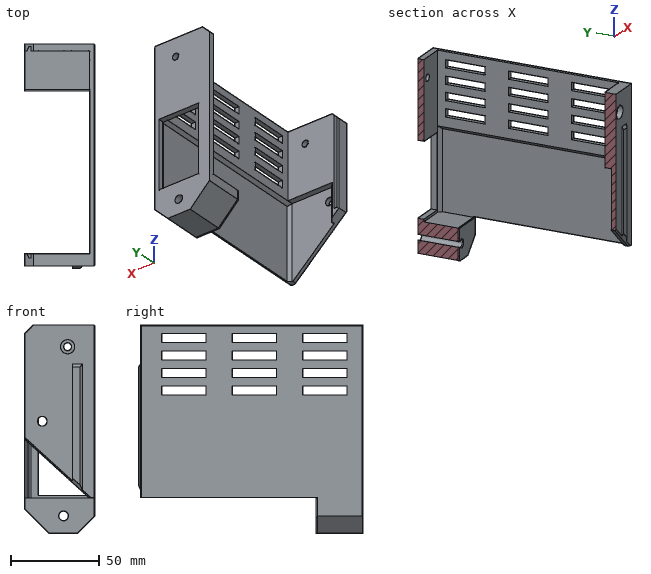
import cadquery as cq
import math

width = 40.0
height = 118.5
rib_height = 1.1
overall_length = 127.4
length = overall_length - rib_height

back_wall = 3.0
front_wall = 7.1
far_wall = 4.0
inner_x = width - back_wall
inner_y = length - far_wall
foot_top = 20.0
panel_bottom = 20.4
corner_chamfer = 5.0
back_chamfer = 0.6

foot_length = 26.8
plate_thickness = 0.9
foot_front = length - foot_length
plate_back = foot_front + plate_thickness
foot_left_chamfer = 13.9
foot_right_chamfer = 10.0

slope_top = 53.6
slope_end_x = 36.5
slope_rise_rate = (slope_top - panel_bottom) / slope_end_x
slope_bevel = 0.8

slot_length = 25.0
slot_height = 5.0
slot_pitch_y = 40.0
slot_pitch_z = 10.0
slot_columns = 3
slot_rows = 4
slot_middle_y = 64.6
slot_top_margin = 5.0
top_slot_z = height - slot_top_margin - slot_height / 2

pocket_top = 72.5
pocket_bevel = 2.0
pocket_front_y = 3.2
pocket_left_x = 6.8

groove_depth = 2.5
groove_open_x = 1.4
groove_deep_x = 2.5
groove_end_x = 3.6
front_groove_bottom = 54.8

window_left_x = 7.9
window_right_x = 36.5
window_bottom = 21.5
window_top = 68.7

rib_left_x = 27.1
rib_right_x = 32.9
rib_top = 96.2
rib_side_bevel = 1.3
rib_top_bevel = 1.7

screw_hole_diameter = 4.3
screw_head_diameter = 8.0
screw_head_depth = 3.5
screw_hole_at = (24.5, 106.0)
mount_hole_diameter = 5.4
wall_hole_at = (10.1, 63.7)
foot_hole_at = (22.2, 10.0)


def block(x0, x1, y0, y1, z0, z1):
    return cq.Workplane("XY").box(x1 - x0, y1 - y0, z1 - z0, centered=False).translate((x0, y0, z0))


def prism_along_y(points, y0, y1):
    """Extrude an (x, z) outline from y0 to y1."""
    return cq.Workplane("XZ", origin=(0, y0, 0)).polyline(points).close().extrude(y0 - y1)


def prism_along_z(points, z0, z1):
    """Extrude an (x, y) outline from z0 to z1."""
    return cq.Workplane("XY", origin=(0, 0, z0)).polyline(points).close().extrude(z1 - z0)


def hole_along_y(centre, diameter, y0, y1):
    x, z = centre
    return cq.Workplane("XZ", origin=(x, y0, z)).circle(diameter / 2).extrude(y0 - y1)


def foot_outline(top):
    """(x, z) outline of the foot with its two lower corners cut, carried up to the given height."""
    return [
        (0, foot_left_chamfer),
        (foot_left_chamfer, 0),
        (width - foot_right_chamfer, 0),
        (width, foot_right_chamfer),
        (width, top),
        (0, top),
    ]


def walls():
    """Panel, front and far walls and foot, before any openings are cut."""
    upper = block(0, width, 0, length, panel_bottom, height)
    upper = upper.faces(">X").edges("|Z or >Z").chamfer(back_chamfer)
    foot = prism_along_y(foot_outline(panel_bottom), plate_back, length)
    foot = foot.faces(">X").edges(">Y").chamfer(back_chamfer)
    room = block(0, inner_x, front_wall, inner_y, foot_top, height)
    foot_clearance = block(0, inner_x, 0, inner_y, foot_top, panel_bottom)
    top_corner = prism_along_y(
        [(0, height), (corner_chamfer, height), (0, height - corner_chamfer)], 0, length
    )
    return upper.union(foot).cut(room).cut(foot_clearance).cut(top_corner)


def slope_outline(offset):
    """(x, z) triangle below the slope, with the slope moved outward by the offset."""
    rise = offset * math.hypot(1, slope_rise_rate)
    return [
        (0, panel_bottom),
        (0, slope_top + rise),
        (slope_end_x + rise / slope_rise_rate, panel_bottom),
    ]


def slope_cutter():
    """Removes the front wall below the slope and bevels the outer edge at 45 degrees, rib included."""
    straight = prism_along_y(slope_outline(0), 0, front_wall)
    bevel_depth = slope_bevel + rib_height
    bevel = (
        cq.Workplane("XZ", origin=(0, slope_bevel, 0))
        .polyline(slope_outline(0))
        .close()
        .workplane(offset=bevel_depth)
        .polyline(slope_outline(bevel_depth))
        .close()
        .loft(ruled=True)
    )
    return straight.union(bevel)


def rib():
    body = block(rib_left_x, rib_right_x, -rib_height, 0, panel_bottom, rib_top)
    side_bevel = prism_along_z(
        [(rib_right_x, 0), (rib_right_x, -rib_height), (rib_right_x - rib_side_bevel, -rib_height)],
        panel_bottom,
        rib_top,
    )
    top_bevel = (
        cq.Workplane("YZ", origin=(rib_left_x, 0, 0))
        .polyline([(0, rib_top), (-rib_height, rib_top), (-rib_height, rib_top - rib_top_bevel)])
        .close()
        .extrude(rib_right_x - rib_left_x)
    )
    return body.cut(side_bevel).cut(top_bevel)


def vent_slots():
    slots = cq.Workplane("XY")
    for column in range(slot_columns):
        y = slot_middle_y + (column - (slot_columns - 1) / 2) * slot_pitch_y
        for row in range(slot_rows):
            z = top_slot_z - row * slot_pitch_z
            slots = slots.union(
                block(inner_x, width, y - slot_length / 2, y + slot_length / 2,
                      z - slot_height / 2, z + slot_height / 2)
            )
    return slots


def pocket():
    """Recess in the panel and the front wall, bevelled where it meets their inner faces."""
    deep_x = inner_x + pocket_bevel
    bevel_y = pocket_front_y + pocket_bevel
    recess = prism_along_z(
        [
            (inner_x, pocket_front_y),
            (deep_x, bevel_y),
            (deep_x, inner_y - pocket_bevel),
            (inner_x, inner_y),
            (pocket_left_x - (front_wall - bevel_y), inner_y),
            (pocket_left_x - (front_wall - bevel_y), front_wall),
            (pocket_left_x, bevel_y),
            (pocket_left_x, pocket_front_y),
        ],
        foot_top,
        pocket_top,
    )
    top_bevel = prism_along_y(
        [(inner_x, pocket_top), (deep_x, pocket_top), (deep_x, pocket_top - pocket_bevel)], 0, length
    )
    return recess.cut(top_bevel)


def groove(wall_face, into_wall, bottom):
    """Undercut groove open at the top; into_wall is +1 or -1, the y direction it is cut in."""
    deep_y = wall_face + into_wall * groove_depth
    return prism_along_z(
        [
            (groove_open_x, wall_face),
            (groove_deep_x, deep_y),
            (groove_end_x, deep_y),
            (groove_end_x, wall_face),
        ],
        bottom,
        height,
    )


def make_housing():
    housing = walls().union(rib())
    housing = housing.cut(slope_cutter())
    housing = housing.cut(vent_slots()).cut(pocket())
    housing = housing.cut(groove(front_wall, -1, front_groove_bottom))
    housing = housing.cut(groove(inner_y, 1, foot_top))
    housing = housing.cut(
        block(window_left_x, window_right_x, inner_y, length, window_bottom, window_top)
    )
    housing = housing.cut(hole_along_y(screw_hole_at, screw_hole_diameter, 0, length))
    housing = housing.cut(hole_along_y(screw_hole_at, screw_head_diameter, 0, screw_head_depth))
    housing = housing.cut(hole_along_y(wall_hole_at, mount_hole_diameter, 0, front_wall))
    return housing.cut(hole_along_y(foot_hole_at, mount_hole_diameter, foot_front, length))


def make_foot_plate():
    """Thin plate on the foot's front face, stopping short of the panel's outer face."""
    plate = prism_along_y(foot_outline(foot_top), foot_front, plate_back)
    edge_strip = block(width - back_chamfer, width, foot_front, plate_back, 0, foot_top)
    plate = plate.cut(edge_strip)
    return plate.cut(hole_along_y(foot_hole_at, mount_hole_diameter, foot_front, plate_back))


housing = make_housing()
foot_plate = make_foot_plate()
result = cq.Compound.makeCompound([housing.val(), foot_plate.val()])